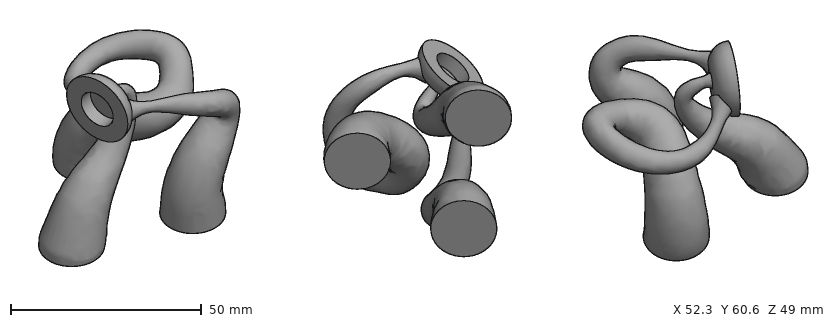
import cadquery as cq

disc_radius = 10.0
disc_thickness = 5.9
disc_rounding = 5.8
disc_height = 39.0
socket_diameter = 10.4
socket_depth = 4.0

foot_radius = 8.65
foot_spacing = 17.4
front_foot_y = -11.15
rear_foot_y = 18.5

front_tentacle = [
    (0, front_foot_y, 0, foot_radius),
    (0, -9.75, 3.8, 8.4),
    (0, -7.65, 8.25, 7.7),
    (0, -2.9, 14.65, 6.5),
    (0, 3.35, 19.0, 5.1),
    (0, 9.1, 24.65, 3.9),
    (0, 12.85, 31.2, 2.7),
    (0, 12.9, 35.7, 2.25),
    (0, 9.9, 38.5, 1.8),
    (0, 7.45, 39.4, 1.6),
    (0, 5.8, 39.4, 2.2),
    (0, 4.65, 39.4, 3.35),
]
right_tentacle = [
    (foot_spacing, rear_foot_y, 0, foot_radius),
    (17.3, 18.55, 3.95, 8.35),
    (17.3, 18.85, 9.1, 7.75),
    (17.55, 22.1, 16.05, 6.9),
    (17.7, 27.25, 21.3, 5.75),
    (18.2, 30.3, 26.05, 4.6),
    (19.3, 29.7, 30.5, 3.9),
    (19.55, 25.45, 33.75, 3.45),
    (15.55, 17.55, 36.7, 2.8),
    (8.95, 7.5, 38.95, 1.7),
    (7.2, 5.0, disc_height, 2.7),
    (5.65, 3.4, disc_height, 3.95),
]
left_tentacle = [
    (-foot_spacing, rear_foot_y, 0, foot_radius),
    (-17.5, 18.4, 4.25, 8.5),
    (-16.25, 18.5, 9.6, 8.05),
    (-12.85, 18.65, 15.5, 7.3),
    (-8.0, 18.9, 19.5, 6.8),
    (-1.2, 20.1, 22.6, 6.3),
    (3.4, 25.85, 25.0, 5.3),
    (1.45, 32.7, 28.8, 4.35),
    (-5.15, 36.6, 32.1, 4.1),
    (-14.05, 31.7, 32.35, 3.65),
    (-18.95, 20.85, 31.4, 2.95),
    (-16.7, 12.0, 31.9, 2.55),
    (-10.6, 5.95, 35.85, 1.9),
    (-8.0, 4.55, 36.9, 2.8),
    (-6.25, 3.65, 37.5, 3.9),
]


def make_tentacle(stations):
    """Loft circles square to the centre line; the foot circle lies flat on the ground."""
    centers = [cq.Vector(*station[:3]) for station in stations]
    radii = [station[3] for station in stations]
    last = len(centers) - 1
    start_direction = cq.Vector(1, 0, 0)
    sections = []
    for i, (center, radius) in enumerate(zip(centers, radii)):
        if i == 0:
            normal = cq.Vector(0, 0, 1)
        else:
            before = cq.Vector(0, 0, 1) if i == 1 else centers[i] - centers[i - 1]
            after = centers[min(i + 1, last)] - centers[min(i, last - 1)]
            normal = (before.normalized() + after.normalized()).normalized()
        start_direction = (start_direction - normal * start_direction.dot(normal)).normalized()
        plane = cq.Plane(origin=center, xDir=start_direction, normal=normal)
        sections.append(cq.Workplane(plane).circle(radius).wires().val())
    return cq.Workplane(cq.Solid.makeLoft(sections))


def make_disc():
    """Round disc along +Y with a heavily rounded back edge."""
    face_plane = cq.Workplane("XZ", origin=(0, 0, disc_height))
    disc = face_plane.circle(disc_radius).extrude(-disc_thickness)
    return disc.faces(">Y").edges().fillet(disc_rounding)


def make_socket():
    """Blind round hole in the flat face of the disc."""
    face_plane = cq.Workplane("XZ", origin=(0, 0, disc_height))
    return face_plane.circle(socket_diameter / 2).extrude(-socket_depth)


result = make_disc()
for stations in (front_tentacle, right_tentacle, left_tentacle):
    result = result.union(make_tentacle(stations))
result = result.cut(make_socket())